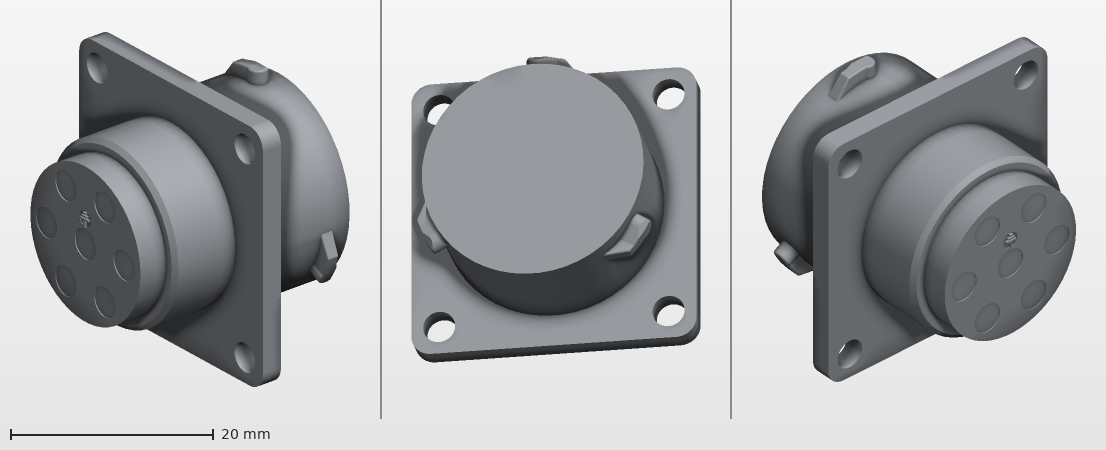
import cadquery as cq
import math


flange_side = 28.6
flange_thickness = 2.3
flange_corner_radius = 2.0
mounting_hole_diameter = 3.2
mounting_hole_spacing = 23.0

rear_radius = 11.12
rear_length = 11.35
front_radius = 9.98
front_length = 7.7
front_chamfer = 0.5
insert_radius = 8.57
insert_length = 3.2
rear_face_y = flange_thickness + rear_length
insert_face_y = -(front_length + insert_length)

contact_diameter = 3.3
contact_circle_radius = 6.05
outer_contact_count = 6
contact_recess = 0.12

earth_recess_radius = 0.9
earth_center_z = 2.78
earth_bar_width = 0.2
earth_bar_pitch = 0.33
earth_bar_lengths = (1.26, 0.84, 0.42)
earth_stem_length = 0.85
earth_bar_height = 0.2

lug_count = 3
lug_setback = 2.6
lug_outer_radius = 12.65
lug_root_height = 10.0
lug_draft = 2.0
lug_blank_height = 3.2
lug_margin = 1.0
lug_head_radius = 1.15
lug_tail_rear = 0.53
lug_tail_front = -0.98
lug_shoulder_x = -2.1
lug_ramp_foot = (-4.37, 10.24)
lug_ramp_top = (-2.83, 12.33)
lug_edge_radius = 0.2
lug_bevel = 0.6


def cylinder_along_y(radius, y_start, length, x=0.0, z=0.0):
    return cq.Workplane(cq.Solid.makeCylinder(radius, length, cq.Vector(x, y_start, z), cq.Vector(0, 1, 0)))


def make_flange():
    hole_centers = cq.Workplane("XZ").rect(mounting_hole_spacing, mounting_hole_spacing, forConstruction=True)
    holes = hole_centers.vertices().circle(mounting_hole_diameter / 2).extrude(-flange_thickness)
    plate = cq.Workplane("XZ").rect(flange_side, flange_side).extrude(-flange_thickness)
    return plate.edges("|Y").fillet(flange_corner_radius).cut(holes)


def make_shell():
    rear = cylinder_along_y(rear_radius, 0, rear_face_y)
    front = cylinder_along_y(front_radius, -front_length, front_length).faces("<Y").chamfer(front_chamfer)
    insert = cylinder_along_y(insert_radius, insert_face_y, -insert_face_y)
    return rear.union(front).union(insert)


def make_contact_recesses():
    recesses = cylinder_along_y(contact_diameter / 2, insert_face_y, contact_recess)
    for index in range(outer_contact_count):
        angle = 2 * math.pi * index / outer_contact_count
        x = contact_circle_radius * math.cos(angle)
        z = contact_circle_radius * math.sin(angle)
        recesses = recesses.union(cylinder_along_y(contact_diameter / 2, insert_face_y, contact_recess, x, z))
    return recesses


def make_earth_bars():
    """Three bars that shorten upward, on a stem; they stand on the recess floor."""
    depth = contact_recess + earth_bar_height
    center_y = insert_face_y + contact_recess - depth / 2
    stem_center_z = earth_center_z - earth_stem_length / 2
    bars = cq.Workplane().box(earth_bar_width, depth, earth_stem_length).translate((0, center_y, stem_center_z))
    for index, length in enumerate(earth_bar_lengths):
        bar_z = earth_center_z + index * earth_bar_pitch
        bars = bars.union(cq.Workplane().box(length, depth, earth_bar_width).translate((0, center_y, bar_z)))
    return bars


def make_head_bevel():
    """Wedge that slopes the bulging rear side of the lug head down at 45 degrees."""
    head_rear_y = rear_face_y - lug_setback + lug_head_radius
    return (
        cq.Workplane("YZ")
        .moveTo(head_rear_y, lug_outer_radius - lug_bevel)
        .lineTo(head_rear_y - lug_bevel, lug_outer_radius)
        .lineTo(head_rear_y, lug_outer_radius)
        .close()
        .extrude(lug_outer_radius, both=True)
    )


def make_lug():
    """Lug at the top of the shell, its tail pointing to -X."""
    tail_x = lug_ramp_foot[0] - lug_margin
    shoulder_distance = math.hypot(lug_shoulder_x, lug_tail_rear)
    shoulder_angle = math.atan2(lug_tail_rear, lug_shoulder_x)
    tangent_angle = shoulder_angle - math.acos(lug_head_radius / shoulder_distance)
    tangent_point = (lug_head_radius * math.cos(tangent_angle), lug_head_radius * math.sin(tangent_angle))
    head_front_x = -math.sqrt(lug_head_radius**2 - lug_tail_front**2)
    blank = (
        cq.Workplane("XY", origin=(0, rear_face_y - lug_setback, lug_root_height))
        .moveTo(tail_x, lug_tail_front)
        .lineTo(tail_x, lug_tail_rear)
        .lineTo(lug_shoulder_x, lug_tail_rear)
        .lineTo(*tangent_point)
        .threePointArc((lug_head_radius, 0), (head_front_x, lug_tail_front))
        .close()
        .extrude(lug_blank_height, taper=lug_draft)
    )
    slope = (lug_ramp_top[0] - lug_ramp_foot[0]) / (lug_ramp_top[1] - lug_ramp_foot[1])
    low_z = lug_root_height - lug_margin
    high_z = lug_outer_radius + lug_margin
    ramp_waste = (
        cq.Workplane("XZ")
        .moveTo(lug_ramp_foot[0] + slope * (low_z - lug_ramp_foot[1]), low_z)
        .lineTo(lug_ramp_foot[0] + slope * (high_z - lug_ramp_foot[1]), high_z)
        .lineTo(2 * tail_x, high_z)
        .lineTo(2 * tail_x, low_z)
        .close()
        .extrude(-rear_face_y)
    )
    envelope = cylinder_along_y(lug_outer_radius, 0, rear_face_y)
    lug = blank.cut(ramp_waste).intersect(envelope)
    rim = lug.faces(">Z").edges().add(lug.faces("<X").edges("not <Z"))
    return rim.fillet(lug_edge_radius).cut(make_head_bevel())


part = make_shell().union(make_flange())
lug = make_lug()
for lug_index in range(lug_count):
    lug_angle = 360 / lug_count * lug_index
    part = part.union(lug.rotate((0, 0, 0), (0, 1, 0), lug_angle))
part = part.cut(make_contact_recesses())
part = part.cut(cylinder_along_y(earth_recess_radius, insert_face_y, contact_recess, z=earth_center_z))
result = part.union(make_earth_bars())